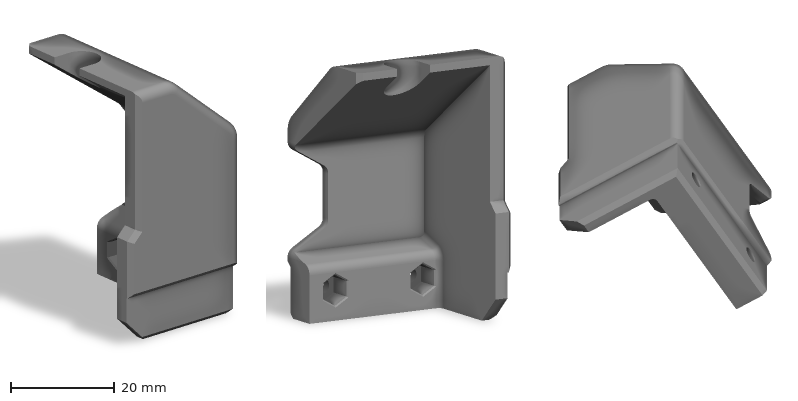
import cadquery as cq
import math

WIDTH = 34.0
DEPTH = 28.0
HEIGHT = 52.5

SIDE_WALL_X = 30.0
BACK_WALL = 2.0
UPPER_DEPTH = 26.0
STEP_TOP_Z = 24.0
FRONT_FOOT_CUT = 5.0
SMALL_CHAMFER = 1.0

ROOF_ANGLE = 40
ROOF_BACK_Z = 38.7
ROOF_BLEND = 4.0
OUTER_EDGE_RADIUS = 2.0
CEILING_BACK_Z = 33.8
CEILING_FRONT_Z = 51.0
INNER_RADIUS = 2.0

BLOCK_DEPTH = 8.0
BLOCK_FRONT_Z = 11.0
BLOCK_BACK_Z = 13.0
BLOCK_WALL_FILLET = 1.0
SCREW_Z = 6.0
SCREW_X = (6.0, 26.0)
SCREW_DIAMETER = 3.2
NUT_FLATS = 5.35
NUT_FLOOR = 3.0
NUT_LEAD_IN = 0.25

NOTCH_DEPTH = 8.05
NOTCH_Z = 23.3
NOTCH_MOUTH_HALF = 10.3
NOTCH_ANGLE = 30
NOTCH_RADIUS = 2.0

SLOT_X = 12.5
SLOT_WIDTH = 7.5
SLOT_CENTRE_DEPTH = 22.25

RELIEF_Z = 10.1
BACK_RELIEF = 1.0
SIDE_RELIEF = 1.25

CLEAR = 5.25


def side_prism(points, x_start, x_end):
    """Extrude an outline of (depth, z) points along X."""
    outline = [(-depth, z) for depth, z in points]
    plane = cq.Workplane("YZ").workplane(offset=x_start)
    return plane.polyline(outline).close().extrude(x_end - x_start)


def edges_at(x, depth, z):
    """Select the edges whose centre lies at the given place."""
    reach = 0.05
    return cq.selectors.BoxSelector(
        (x - reach, -depth - reach, z - reach), (x + reach, -depth + reach, z + reach)
    )


def make_envelope():
    """Outer shape, with the roof blended in and the outer side edges eased."""
    step = DEPTH - UPPER_DEPTH
    roof_run = (HEIGHT - ROOF_BACK_Z) / math.tan(math.radians(ROOF_ANGLE))
    body = side_prism(
        [
            (0, 0),
            (0, ROOF_BACK_Z),
            (roof_run, HEIGHT),
            (UPPER_DEPTH, HEIGHT),
            (UPPER_DEPTH, STEP_TOP_Z),
            (DEPTH, STEP_TOP_Z - step),
            (DEPTH, FRONT_FOOT_CUT),
            (DEPTH - FRONT_FOOT_CUT, 0),
        ],
        0,
        WIDTH,
    )
    for depth, z in ((0, ROOF_BACK_Z), (roof_run, HEIGHT)):
        body = body.edges(edges_at(WIDTH / 2, depth, z)).fillet(ROOF_BLEND)

    step_bottom_z = STEP_TOP_Z - step
    front_edges = (
        edges_at(WIDTH, UPPER_DEPTH, (HEIGHT + STEP_TOP_Z) / 2)
        + edges_at(WIDTH, UPPER_DEPTH + step / 2, STEP_TOP_Z - step / 2)
        + edges_at(WIDTH, DEPTH, (step_bottom_z + FRONT_FOOT_CUT) / 2)
    )
    body = body.edges(front_edges).chamfer(SMALL_CHAMFER)
    return body.faces(">X").edges(">Z").fillet(OUTER_EDGE_RADIUS)


def make_cavity():
    """Space in front of the back wall, under the roof and over the screw block."""
    slope = (CEILING_FRONT_Z - CEILING_BACK_Z) / (UPPER_DEPTH - BACK_WALL)
    reach = DEPTH + CLEAR
    cavity = side_prism(
        [
            (BACK_WALL, BLOCK_BACK_Z),
            (BACK_WALL, CEILING_BACK_Z),
            (reach, CEILING_BACK_Z + slope * (reach - BACK_WALL)),
            (reach, -CLEAR),
            (BLOCK_DEPTH, -CLEAR),
            (BLOCK_DEPTH, BLOCK_FRONT_Z),
        ],
        -CLEAR,
        SIDE_WALL_X,
    )
    middle_x = (SIDE_WALL_X - CLEAR) / 2
    ceiling_corner = edges_at(middle_x, BACK_WALL, CEILING_BACK_Z)
    block_corner = edges_at(middle_x, BLOCK_DEPTH, BLOCK_FRONT_Z)
    cavity = cavity.edges(ceiling_corner + block_corner).fillet(INNER_RADIUS)
    block_front = cq.selectors.NearestToPointSelector((SIDE_WALL_X, -BLOCK_DEPTH, 0))
    return cavity.faces(">X").edges(block_front).fillet(BLOCK_WALL_FILLET)


def make_notch():
    """Tapered notch in the open edge, cut straight through in Y."""
    slope = math.tan(math.radians(NOTCH_ANGLE))
    root_half = NOTCH_MOUTH_HALF - NOTCH_DEPTH * slope
    outer_half = NOTCH_MOUTH_HALF + CLEAR
    notch = (
        cq.Workplane("XZ")
        .moveTo(-CLEAR, NOTCH_Z - outer_half)
        .lineTo(0, NOTCH_Z - outer_half)
        .lineTo(0, NOTCH_Z - NOTCH_MOUTH_HALF)
        .lineTo(NOTCH_DEPTH, NOTCH_Z - root_half)
        .lineTo(NOTCH_DEPTH, NOTCH_Z + root_half)
        .lineTo(0, NOTCH_Z + NOTCH_MOUTH_HALF)
        .lineTo(0, NOTCH_Z + outer_half)
        .lineTo(-CLEAR, NOTCH_Z + outer_half)
        .close()
        .extrude(DEPTH)
    )
    for x, half in ((0, NOTCH_MOUTH_HALF), (NOTCH_DEPTH, root_half)):
        for z in (NOTCH_Z - half, NOTCH_Z + half):
            notch = notch.edges(edges_at(x, DEPTH / 2, z)).fillet(NOTCH_RADIUS)
    return notch


def make_roof_slot():
    """Round-ended slot, open to the front, cut down through the roof."""
    radius = SLOT_WIDTH / 2
    return (
        cq.Workplane("XY", origin=(0, 0, NOTCH_Z))
        .moveTo(SLOT_X - radius, -DEPTH)
        .lineTo(SLOT_X - radius, -SLOT_CENTRE_DEPTH)
        .threePointArc((SLOT_X, radius - SLOT_CENTRE_DEPTH), (SLOT_X + radius, -SLOT_CENTRE_DEPTH))
        .lineTo(SLOT_X + radius, -DEPTH)
        .close()
        .extrude(HEIGHT)
    )


def make_screw_hole(x):
    """Screw hole with a hexagonal nut pocket, corners up and down, and its lead-in."""

    def hexagon(depth, flats):
        corner_diameter = flats / math.cos(math.radians(30))
        plane = cq.Workplane("XZ", origin=(x, -depth, SCREW_Z))
        return plane.transformed(rotate=(0, 0, 30)).polygon(6, corner_diameter)

    hole = cq.Workplane("XZ", origin=(x, 0, SCREW_Z)).circle(SCREW_DIAMETER / 2).extrude(BLOCK_DEPTH)
    pocket = hexagon(NUT_FLOOR, NUT_FLATS).extrude(BLOCK_DEPTH - NUT_FLOOR)
    lead_in = hexagon(BLOCK_DEPTH, NUT_FLATS + 2 * NUT_LEAD_IN).extrude(-NUT_LEAD_IN, taper=45)
    return hole.union(pocket).union(lead_in)


def make_back_relief():
    """Shallow step across the back of the foot, with a 45 degree upper end and bottom edge."""
    return side_prism(
        [
            (-CLEAR, RELIEF_Z + BACK_RELIEF + CLEAR),
            (BACK_RELIEF, RELIEF_Z),
            (BACK_RELIEF, SMALL_CHAMFER),
            (BACK_RELIEF + SMALL_CHAMFER, 0),
            (-CLEAR, 0),
        ],
        0,
        WIDTH,
    )


def make_side_relief():
    """Matching step in the side wall, with a small ledge below its 45 degree upper end."""
    face_x = WIDTH - SIDE_RELIEF
    return (
        cq.Workplane("XZ")
        .moveTo(face_x - SMALL_CHAMFER, 0)
        .lineTo(face_x, SMALL_CHAMFER)
        .lineTo(face_x, RELIEF_Z)
        .lineTo(WIDTH - SMALL_CHAMFER, RELIEF_Z)
        .lineTo(WIDTH, RELIEF_Z + SMALL_CHAMFER)
        .lineTo(WIDTH, 0)
        .close()
        .extrude(DEPTH)
    )


def make_roof_corner():
    """45 degree cut on the front corner of the roof at its open end."""
    return (
        cq.Workplane("XY", origin=(0, 0, STEP_TOP_Z))
        .moveTo(0, -UPPER_DEPTH)
        .lineTo(SMALL_CHAMFER, -UPPER_DEPTH)
        .lineTo(0, SMALL_CHAMFER - UPPER_DEPTH)
        .close()
        .extrude(HEIGHT)
    )


result = (
    make_envelope()
    .cut(make_cavity())
    .cut(make_notch())
    .cut(make_roof_slot())
    .cut(make_roof_corner())
    .cut(make_back_relief())
    .cut(make_side_relief())
)
for screw_x in SCREW_X:
    result = result.cut(make_screw_hole(screw_x))